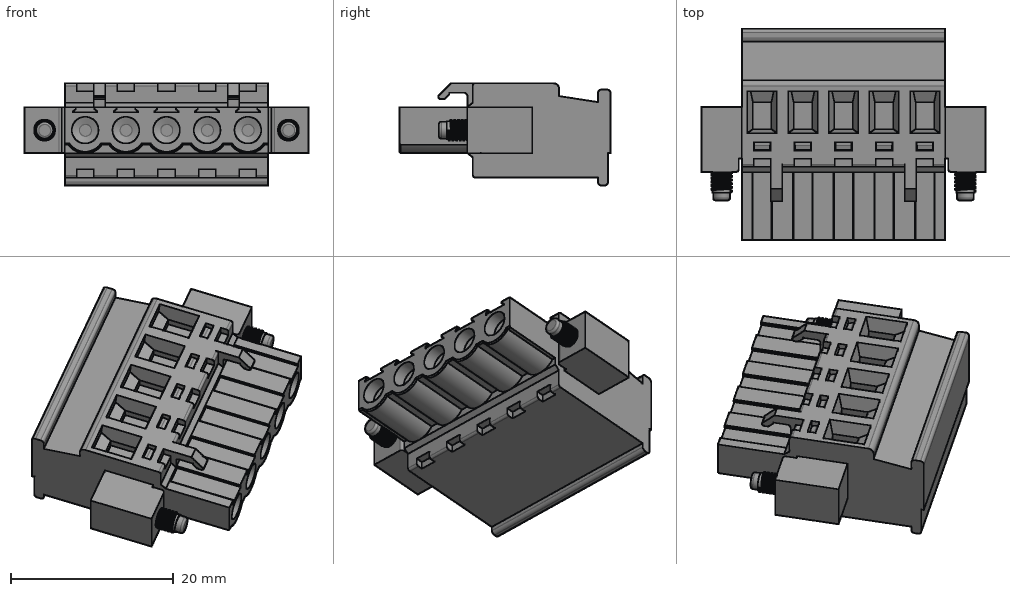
import cadquery as cq
import math


POLES = 5
PITCH = 5.0
TOTAL_WIDTH = 35.0
TOTAL_DEPTH = 26.0
TOTAL_HEIGHT = 12.6

BODY_WIDTH = POLES * PITCH
FLANGE_WIDTH = (TOTAL_WIDTH - BODY_WIDTH) / 2
POLE_XS = [(i - (POLES - 1) / 2) * PITCH for i in range(POLES)]
ENDS = (-1, 1)

AXIS_Z = 6.82
NOSE_HEIGHT = 5.67
NOSE_TOP_Z = AXIS_Z + NOSE_HEIGHT / 2
NOSE_LOW_Z = AXIS_Z - NOSE_HEIGHT / 2
COLLAR_Y = 8.35
FRONT_Y = 9.03
COLLAR_RISE = 0.52
BODY_BOTTOM_Z = 0.98
FRONT_EDGE_RADIUS = 0.3

RAIL_FRONT_Y = 24.43
RAIL_TOP_Z = 11.83
RAIL_RADIUS = 0.45
REAR_STEP = 0.3
SHELF_REAR_Z = 10.3
SHELF_FRONT_Z = 11.02
STEP_Y = 19.67
STEP_RADIUS = 0.7

BUMP_RADIUS = 2.55
BUMP_AXIS_Z = NOSE_LOW_Z + BUMP_RADIUS
WEB_BOTTOM_Z = 5.0
NOSE_CHAMFER = 0.18

SOCKET_RADIUS = 1.65
SOCKET_DEPTH = 1.75
SOCKET_TIP_RADIUS = 0.75
SOCKET_CONE_DEPTH = 0.28

GROOVE_NECK = 2.28
GROOVE_MOUTH_BEVEL = 0.1
GROOVE_WIDTH = 3.0
GROOVE_DEPTH = 0.65
GROOVE_LIP = 0.25
GROOVE_FOOT = 0.15

FUNNEL_WIDTH = 3.65
FUNNEL_FRONT_Y = 13.15
FUNNEL_REAR_Y = 18.35
FUNNEL_DEPTH = 1.68
FUNNEL_KINK_DEPTH = 0.98
THROAT_WIDTH = 2.28
THROAT_FRONT_Y = 13.65
THROAT_REAR_Y = 16.98
THROAT_DEPTH = 2.62

WINDOW_WIDTH = 2.1
WINDOW_FRONT_Y = 11.0
WINDOW_REAR_Y = 12.0
WINDOW_RIDGE_Y = 11.65
WINDOW_DEPTH = 0.6
WINDOW_FLOOR_DROP = 0.15
WINDOW_INSET = 0.1
POCKET_WIDTH = 2.1
POCKET_REAR_Y = 10.0
POCKET_HEIGHT = 1.0

HOOK_WIDTH = 1.45
HOOK_X = POLE_XS[-1] - POCKET_WIDTH / 2 - HOOK_WIDTH / 2
HOOK_UNDER_Z = 11.4
HOOK_INNER_RADIUS = 0.42
HOOK_BEND_Y = 6.35
HOOK_TIP_Y = 4.75
HOOK_TIP_TOP_Z = 11.02
HOOK_TIP_BEVEL = 0.2
HOOK_LOW_Z = 10.65
HOOK_CLAW_Y = 6.15
HOOK_CLAW_LIP = 0.18

FLANGE_REAR_Y = 16.38
FLANGE_GAP = 0.35
FLANGE_GAP_REAR_Y = POCKET_REAR_Y
FLANGE_RADIUS = 0.4

SCREW_X = (BODY_WIDTH + FLANGE_WIDTH) / 2
THREAD_CORE_RADIUS = 1.12
THREAD_RADIUS = 1.3
THREAD_PITCH = 0.45
THREAD_FOOT_WIDTH = 0.35
THREAD_CREST_WIDTH = 0.1
THREAD_OVERLAP = 0.05
THREAD_END_Y = 5.85
PIN_RADIUS = 1.05
PIN_END_Y = 4.85
PIN_TIP_RADIUS = 0.3


def box(x0, x1, y0, y1, z0, z1):
    """Box between two corners."""
    return cq.Workplane("XY").box(x1 - x0, y1 - y0, z1 - z0, centered=False).translate((x0, y0, z0))


def side_prism(outline, x_mid, width):
    """Closed (Y, Z) outline extruded along X, centred on x_mid."""
    return outline.close().extrude(width / 2, both=True).translate((x_mid, 0, 0))


def turned(profile, x_mid):
    """Revolve a (radius, Y) profile about the socket-height axis at x_mid."""
    return (
        cq.Workplane("XY").polyline(profile).close()
        .revolve(360, (0, 0, 0), (0, 1, 0))
        .translate((x_mid, 0, AXIS_Z))
    )


def make_housing():
    """Side profile with rear rail, sloped shelf and front collar, run along the full width."""
    rear_low_y = TOTAL_DEPTH - REAR_STEP
    outline = cq.Workplane("YZ").polyline([
        (COLLAR_Y, NOSE_LOW_Z),
        (COLLAR_Y, NOSE_TOP_Z),
        (FRONT_Y, NOSE_TOP_Z + COLLAR_RISE),
        (FRONT_Y, TOTAL_HEIGHT),
        (STEP_Y, TOTAL_HEIGHT),
        (STEP_Y, SHELF_FRONT_Z),
        (RAIL_FRONT_Y, SHELF_REAR_Z),
        (RAIL_FRONT_Y, RAIL_TOP_Z),
        (TOTAL_DEPTH, RAIL_TOP_Z),
        (TOTAL_DEPTH, NOSE_LOW_Z),
        (rear_low_y, NOSE_LOW_Z),
        (rear_low_y, 0),
        (RAIL_FRONT_Y, 0),
        (RAIL_FRONT_Y, BODY_BOTTOM_Z),
        (FRONT_Y, BODY_BOTTOM_Z),
        (FRONT_Y, NOSE_LOW_Z - COLLAR_RISE),
    ])
    housing = side_prism(outline, 0, BODY_WIDTH)

    def fillet_at(body, corners, radius):
        for y, z in corners:
            body = body.edges(cq.selectors.NearestToPointSelector((0, y, z))).fillet(radius)
        return body

    rail_corners = [
        (RAIL_FRONT_Y, RAIL_TOP_Z),
        (TOTAL_DEPTH, RAIL_TOP_Z),
        (RAIL_FRONT_Y, 0),
        (rear_low_y, 0),
    ]
    front_corners = [(FRONT_Y, TOTAL_HEIGHT), (FRONT_Y, BODY_BOTTOM_Z)]
    housing = fillet_at(housing, rail_corners, RAIL_RADIUS)
    housing = fillet_at(housing, [(STEP_Y, TOTAL_HEIGHT)], STEP_RADIUS)
    return fillet_at(housing, front_corners, FRONT_EDGE_RADIUS)


def make_nose():
    """Flat-topped nose with a rounded bump under each socket, its underside bevelled at the tip."""
    half = BODY_WIDTH / 2
    chord = math.sqrt(BUMP_RADIUS ** 2 - (BUMP_AXIS_Z - WEB_BOTTOM_Z) ** 2)
    outline = cq.Workplane("XZ").moveTo(-half, NOSE_TOP_Z).lineTo(-half, WEB_BOTTOM_Z)
    for x in POLE_XS:
        outline = (
            outline.lineTo(x - chord, WEB_BOTTOM_Z)
            .threePointArc((x, NOSE_LOW_Z), (x + chord, WEB_BOTTOM_Z))
        )
    outline = outline.lineTo(half, WEB_BOTTOM_Z).lineTo(half, NOSE_TOP_Z)
    nose = outline.close().extrude(-COLLAR_Y)
    underside = cq.selectors.BoxSelector((-half, -0.35, NOSE_LOW_Z - 0.35), (half, 0.35, WEB_BOTTOM_Z + 0.35))
    return nose.faces("<Y").edges(underside).chamfer(NOSE_CHAMFER)


def make_socket(x):
    """Round contact socket with a coned floor."""
    cone_end = SOCKET_DEPTH + SOCKET_CONE_DEPTH
    return turned([
        (0, 0),
        (SOCKET_RADIUS, 0),
        (SOCKET_RADIUS, SOCKET_DEPTH),
        (SOCKET_TIP_RADIUS, cone_end),
        (0, cone_end),
    ], x)


def make_groove(x):
    """Dovetail keying groove along the top of the nose, with a bevelled mouth."""
    neck = GROOVE_NECK / 2
    foot = GROOVE_WIDTH / 2
    floor_z = NOSE_TOP_Z - GROOVE_DEPTH
    return (
        cq.Workplane("XZ").polyline([
            (x - neck - GROOVE_MOUTH_BEVEL, NOSE_TOP_Z),
            (x - neck, NOSE_TOP_Z - GROOVE_MOUTH_BEVEL),
            (x - neck, NOSE_TOP_Z - GROOVE_LIP),
            (x - foot, floor_z + GROOVE_FOOT),
            (x - foot, floor_z),
            (x + foot, floor_z),
            (x + foot, floor_z + GROOVE_FOOT),
            (x + neck, NOSE_TOP_Z - GROOVE_LIP),
            (x + neck, NOSE_TOP_Z - GROOVE_MOUTH_BEVEL),
            (x + neck + GROOVE_MOUTH_BEVEL, NOSE_TOP_Z),
        ]).close().extrude(-COLLAR_Y)
    )


def make_funnel(x):
    """Wire entry: sides taper all the way, the rear wall only below its kink."""
    bottom_z = TOTAL_HEIGHT - FUNNEL_DEPTH
    side = side_prism(cq.Workplane("YZ").polyline([
        (FUNNEL_FRONT_Y, TOTAL_HEIGHT),
        (FUNNEL_REAR_Y, TOTAL_HEIGHT),
        (FUNNEL_REAR_Y, TOTAL_HEIGHT - FUNNEL_KINK_DEPTH),
        (THROAT_REAR_Y, bottom_z),
        (THROAT_FRONT_Y, bottom_z),
    ]), x, FUNNEL_WIDTH)
    across = (
        cq.Workplane("XZ").polyline([
            (x - FUNNEL_WIDTH / 2, TOTAL_HEIGHT),
            (x + FUNNEL_WIDTH / 2, TOTAL_HEIGHT),
            (x + THROAT_WIDTH / 2, bottom_z),
            (x - THROAT_WIDTH / 2, bottom_z),
        ]).close().extrude(-TOTAL_DEPTH)
    )
    throat = box(
        x - THROAT_WIDTH / 2, x + THROAT_WIDTH / 2, THROAT_FRONT_Y, THROAT_REAR_Y,
        TOTAL_HEIGHT - THROAT_DEPTH, bottom_z,
    )
    return side.intersect(across).union(throat)


def make_window(x):
    """Shallow test window: tapered ends, floor falling away towards the front."""
    floor_z = TOTAL_HEIGHT - WINDOW_DEPTH
    low_z = floor_z - WINDOW_FLOOR_DROP
    side = side_prism(cq.Workplane("YZ").polyline([
        (WINDOW_FRONT_Y, TOTAL_HEIGHT),
        (WINDOW_REAR_Y, TOTAL_HEIGHT),
        (WINDOW_REAR_Y, floor_z),
        (WINDOW_RIDGE_Y, floor_z),
        (WINDOW_FRONT_Y + WINDOW_INSET, low_z),
    ]), x, WINDOW_WIDTH)
    half = WINDOW_WIDTH / 2
    across = (
        cq.Workplane("XZ").polyline([
            (x - half, TOTAL_HEIGHT),
            (x + half, TOTAL_HEIGHT),
            (x + half - WINDOW_INSET, low_z),
            (x - half + WINDOW_INSET, low_z),
        ]).close().extrude(-TOTAL_DEPTH)
    )
    return side.intersect(across)


def make_pocket(x, z0):
    """Square pocket open towards the front face."""
    half = POCKET_WIDTH / 2
    return box(x - half, x + half, COLLAR_Y, POCKET_REAR_Y, z0, z0 + POCKET_HEIGHT)


def make_hook(x):
    """Latch arm rising from the collar and ending in a bevelled claw."""
    corner_y = COLLAR_Y - HOOK_INNER_RADIUS
    corner_z = HOOK_UNDER_Z - HOOK_INNER_RADIUS
    claw_rise = HOOK_UNDER_Z - HOOK_CLAW_LIP - HOOK_LOW_Z
    diagonal = HOOK_INNER_RADIUS * math.sqrt(0.5)
    outline = (
        cq.Workplane("YZ").moveTo(POCKET_REAR_Y, NOSE_TOP_Z)
        .lineTo(POCKET_REAR_Y, TOTAL_HEIGHT)
        .lineTo(HOOK_BEND_Y, TOTAL_HEIGHT)
        .lineTo(HOOK_TIP_Y, HOOK_TIP_TOP_Z)
        .lineTo(HOOK_TIP_Y, HOOK_LOW_Z + HOOK_TIP_BEVEL)
        .lineTo(HOOK_TIP_Y + HOOK_TIP_BEVEL, HOOK_LOW_Z)
        .lineTo(HOOK_CLAW_Y - claw_rise, HOOK_LOW_Z)
        .lineTo(HOOK_CLAW_Y, HOOK_LOW_Z + claw_rise)
        .lineTo(HOOK_CLAW_Y, HOOK_UNDER_Z)
        .lineTo(corner_y, HOOK_UNDER_Z)
        .threePointArc((corner_y + diagonal, corner_z + diagonal), (COLLAR_Y, corner_z))
        .lineTo(COLLAR_Y, NOSE_TOP_Z)
    )
    return side_prism(outline, x, HOOK_WIDTH)


def make_flange(end):
    """End lug with a relief gap beside the housing and a rounded inner front edge."""
    inner = BODY_WIDTH / 2
    lug = box(inner, TOTAL_WIDTH / 2, COLLAR_Y, FLANGE_REAR_Y, NOSE_LOW_Z, NOSE_TOP_Z)
    gap = box(inner, inner + FLANGE_GAP, COLLAR_Y, FLANGE_GAP_REAR_Y, NOSE_LOW_Z, NOSE_TOP_Z)
    lug = lug.cut(gap)
    front_inner = cq.selectors.NearestToPointSelector((inner + FLANGE_GAP, COLLAR_Y, AXIS_Z))
    lug = lug.edges(front_inner).fillet(FLANGE_RADIUS)
    return lug if end > 0 else lug.mirror("YZ")


def make_screw(x):
    """Screw end: threaded core with a helical ridge, then a round-tipped pilot pin."""
    shank = turned([
        (0, COLLAR_Y + THREAD_PITCH),
        (THREAD_CORE_RADIUS, COLLAR_Y + THREAD_PITCH),
        (THREAD_CORE_RADIUS, THREAD_END_Y),
        (PIN_RADIUS, THREAD_END_Y),
        (PIN_RADIUS, PIN_END_Y),
        (0, PIN_END_Y),
    ], x)
    shank = shank.faces("<Y").edges().fillet(PIN_TIP_RADIUS)
    length = COLLAR_Y - THREAD_END_Y
    root = THREAD_CORE_RADIUS - THREAD_OVERLAP
    foot = THREAD_FOOT_WIDTH / 2
    crest = THREAD_CREST_WIDTH / 2
    path = cq.Wire.makeHelix(THREAD_PITCH, length, root)
    ridge = (
        cq.Workplane("XZ")
        .polyline([(root, -foot), (THREAD_RADIUS, -crest), (THREAD_RADIUS, crest), (root, foot)])
        .close()
        .sweep(cq.Workplane(path), isFrenet=True)
        .rotate((0, 0, 0), (1, 0, 0), -90)
        .translate((x, THREAD_END_Y + foot, AXIS_Z))
    )
    return shank.union(ridge)


result = make_housing().union(make_nose())
for pole_x in POLE_XS:
    result = (
        result.cut(make_socket(pole_x))
        .cut(make_groove(pole_x))
        .cut(make_funnel(pole_x))
        .cut(make_window(pole_x))
        .cut(make_pocket(pole_x, TOTAL_HEIGHT - POCKET_HEIGHT))
        .cut(make_pocket(pole_x, BODY_BOTTOM_Z))
    )
for side_sign in ENDS:
    result = (
        result.union(make_hook(side_sign * HOOK_X))
        .union(make_flange(side_sign))
        .union(make_screw(side_sign * SCREW_X))
    )